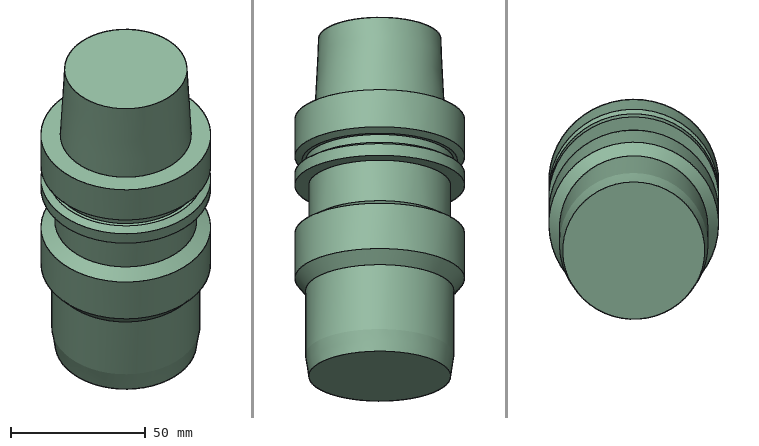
import cadquery as cq
import math

total_length = 133.6
shank_length = 32.0
flange_face_z = total_length - shank_length

shank_taper = 0.1
shank_root_dia = 48.6
shank_tip_dia = shank_root_dia - shank_taper * shank_length

flange_dia = 63.0
flange_thickness = 26.0
groove_dia = 55.0
groove_centre_depth = 18.05
groove_mouth_width = 6.7
groove_floor_width = 3.6
groove_flank_angle = 30.0

neck_dia = 52.6
neck_length = 16.0
collar_dia = 62.9
collar_shoulder_angle = 30.0
collar_bottom_z = 38.7
body_dia = 55.0
body_top_z = 33.8
nose_length = 8.2
nose_end_dia = 52.6

flange_bottom_z = flange_face_z - flange_thickness
neck_bottom_z = flange_bottom_z - neck_length


def make_holder():
    """Revolve the stepped outline about the Z axis, without the gripper groove."""
    shoulder_rise = (collar_dia - neck_dia) / 2 * math.tan(math.radians(collar_shoulder_angle))
    outline = (
        cq.Workplane("XZ")
        .moveTo(0, 0)
        .lineTo(nose_end_dia / 2, 0)
        .lineTo(body_dia / 2, nose_length)
        .lineTo(body_dia / 2, body_top_z)
        .lineTo(collar_dia / 2, collar_bottom_z)
        .lineTo(collar_dia / 2, neck_bottom_z - shoulder_rise)
        .lineTo(neck_dia / 2, neck_bottom_z)
        .lineTo(neck_dia / 2, flange_bottom_z)
        .lineTo(flange_dia / 2, flange_bottom_z)
        .lineTo(flange_dia / 2, flange_face_z)
        .lineTo(shank_root_dia / 2, flange_face_z)
        .lineTo(shank_tip_dia / 2, total_length)
        .lineTo(0, total_length)
        .close()
    )
    return outline.revolve(360, (0, 0, 0), (0, 1, 0))


def make_groove_ring():
    """Ring cut from the flange: sloped flanks at the mouth, a straight-walled floor."""
    mouth_radius = flange_dia / 2
    half_mouth = groove_mouth_width / 2
    half_floor = groove_floor_width / 2
    flank_depth = (half_mouth - half_floor) / math.tan(math.radians(groove_flank_angle))
    flank_radius = mouth_radius - flank_depth
    centre_z = flange_face_z - groove_centre_depth
    outline = (
        cq.Workplane("XZ")
        .moveTo(groove_dia / 2, centre_z - half_floor)
        .lineTo(flank_radius, centre_z - half_floor)
        .lineTo(mouth_radius, centre_z - half_mouth)
        .lineTo(mouth_radius, centre_z + half_mouth)
        .lineTo(flank_radius, centre_z + half_floor)
        .lineTo(groove_dia / 2, centre_z + half_floor)
        .close()
    )
    return outline.revolve(360, (0, 0, 0), (0, 1, 0))


result = make_holder().cut(make_groove_ring())